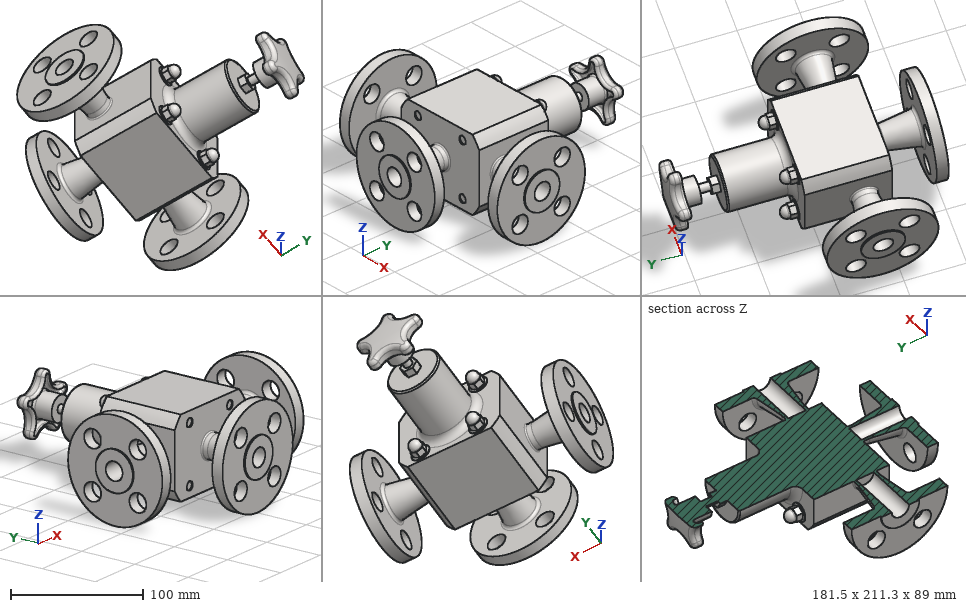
import cadquery as cq
import math


BODY_WIDTH = 88.8
BODY_HEIGHT = 70.0
BODY_LENGTH = 70.0
BODY_BACK = 47.3
BODY_FRONT = BODY_BACK - BODY_LENGTH
BODY_CORNER_DIAMETER = 101.5

BOLT_OFFSET = 25.4
BOLT_DIAMETER = 7.5
BOLT_RECESS = 1.0
WASHER_DIAMETER = 15.8
WASHER_THICKNESS = 0.6
CAP_NUT_FLATS = 11.0
CAP_NUT_HEX_TOP = 6.3
CAP_NUT_COLLAR_TOP = 7.8

FLANGE_DIAMETER = 89.0
SIDE_FLANGE_THICKNESS = 10.5
FRONT_FLANGE_THICKNESS = 9.7
RAISED_FACE_DIAMETER = 35.0
RAISED_FACE_HEIGHT = 1.3
OVERALL_WIDTH = 181.5
SIDE_PORT_REACH = OVERALL_WIDTH / 2
FRONT_PORT_REACH = 68.9
NECK_DIAMETER = 21.3
NECK_LENGTH = 5.5
NECK_FILLET = 1.0
HUB_DIAMETER = 29.5
HUB_FILLET_LENGTH = 2.3
BORE_DIAMETER = 15.8
FLANGE_HOLE_DIAMETER = 15.8
FLANGE_HOLE_CIRCLE = 60.2
FLANGE_HOLE_COUNT = 4

BONNET_DIAMETER = 45.6
BONNET_TOP = 101.5
BONNET_CHAMFER = 1.3
BONNET_FILLET = 6.3
STEM_NUT_FLATS = 12.9
STEM_NUT_HEIGHT = 6.5
STEM_DIAMETER = 7.5
WHEEL_HUB_DIAMETER = 22.2
WHEEL_HUB_START = 118.1
WHEEL_HUB_FILLET = 2.5

WHEEL_BOTTOM = 130.8
OVERALL_LENGTH = 211.3
WHEEL_TOP = OVERALL_LENGTH - FRONT_PORT_REACH
LOBE_COUNT = 5
LOBE_RADIUS = 5.0
LOBE_CENTRE_RADIUS = 23.2
VALLEY_RADIUS = 17.5
WHEEL_TURN = 1.3
DOME_RADIUS = 158.5
DOME_TRIM = 2.1
WHEEL_TOP_FILLET = 3.5
WHEEL_BOTTOM_FILLET = 2.5
RECESS_LOBE_DIAMETER = 4.5
WHEEL_WALL = LOBE_RADIUS - RECESS_LOBE_DIAMETER / 2
WHEEL_TOP_THICKNESS = 6.0
RECESS_FILLET = 2.1


def plane_at(y):
    """Workplane across the stem at height y, facing +Y, with its local x along +Z."""
    return cq.Workplane(cq.Plane(origin=(0, y, 0), xDir=(0, 0, 1), normal=(0, 1, 0)))


def disc(diameter, start, end):
    return plane_at(start).circle(diameter / 2).extrude(end - start)


def bolt_positions():
    return [(sz * BOLT_OFFSET, sx * BOLT_OFFSET) for sz in (-1, 1) for sx in (-1, 1)]


def make_body():
    block = plane_at(BODY_FRONT).rect(BODY_HEIGHT, BODY_WIDTH).extrude(BODY_LENGTH)
    rounded = block.intersect(disc(BODY_CORNER_DIAMETER, BODY_FRONT, BODY_BACK))
    recesses = (
        plane_at(BODY_FRONT).pushPoints(bolt_positions()).circle(BOLT_DIAMETER / 2).extrude(BOLT_RECESS)
    )
    return rounded.cut(recesses)


def make_port(body_face, reach, flange_thickness):
    """Port pointing along +Z from the body face to its raised face, bored down to the body face."""
    neck_r = NECK_DIAMETER / 2
    hub_r = HUB_DIAMETER / 2
    flange_r = FLANGE_DIAMETER / 2
    raised_r = RAISED_FACE_DIAMETER / 2
    flange_front = reach - RAISED_FACE_HEIGHT
    flange_back = flange_front - flange_thickness
    neck_end = body_face + NECK_LENGTH
    hub_end = flange_back - HUB_FILLET_LENGTH
    taper = math.atan2(hub_r - neck_r, hub_end - neck_end)
    fillet_run = HUB_FILLET_LENGTH * math.cos(taper) / (1 - math.sin(taper))
    port = (
        cq.Workplane("XZ")
        .moveTo(0, body_face)
        .lineTo(neck_r + NECK_FILLET, body_face)
        .radiusArc((neck_r, body_face + NECK_FILLET), NECK_FILLET)
        .lineTo(neck_r, neck_end)
        .lineTo(hub_r, hub_end)
        .tangentArcPoint((hub_r + fillet_run, flange_back), relative=False)
        .lineTo(flange_r, flange_back)
        .lineTo(flange_r, flange_front)
        .lineTo(raised_r, flange_front)
        .lineTo(raised_r, reach)
        .lineTo(0, reach)
        .close()
        .revolve(360, (0, 0, 0), (0, 1, 0))
    )
    bore = cq.Workplane("XY", origin=(0, 0, body_face)).circle(BORE_DIAMETER / 2).extrude(reach - body_face)
    holes = (
        cq.Workplane("XY", origin=(0, 0, flange_back))
        .polarArray(FLANGE_HOLE_CIRCLE / 2, 180 / FLANGE_HOLE_COUNT, 360, FLANGE_HOLE_COUNT)
        .circle(FLANGE_HOLE_DIAMETER / 2)
        .extrude(flange_thickness)
    )
    return port.cut(bore).cut(holes)


def make_ports():
    side = make_port(BODY_WIDTH / 2, SIDE_PORT_REACH, SIDE_FLANGE_THICKNESS)
    front = make_port(-BODY_FRONT, FRONT_PORT_REACH, FRONT_FLANGE_THICKNESS)
    return [
        side.rotate((0, 0, 0), (0, 1, 0), 90),
        side.rotate((0, 0, 0), (0, 1, 0), -90),
        front.rotate((0, 0, 0), (1, 0, 0), 90),
    ]


def hexagon(flats, y, height):
    """Hexagonal prism along Y with two corners pointing along Z."""
    return plane_at(y).polygon(6, flats / math.cos(math.pi / 6)).extrude(height)


def make_cap_nut():
    """Washer and domed nut standing on the back of the body, on the stem axis."""
    radius = CAP_NUT_FLATS / 2
    collar_top = BODY_BACK + CAP_NUT_COLLAR_TOP
    washer = disc(WASHER_DIAMETER, BODY_BACK, BODY_BACK + WASHER_THICKNESS)
    prism = hexagon(CAP_NUT_FLATS, BODY_BACK, CAP_NUT_HEX_TOP)
    collar = disc(CAP_NUT_FLATS, BODY_BACK, collar_top)
    dome = cq.Workplane("XY", origin=(0, collar_top, 0)).sphere(radius)
    return washer.union(prism).union(collar).union(dome)


def make_flare(diameter, base, height):
    """Concave round between a face at y = base and a cylinder; a negative height goes down -Y."""
    r = diameter / 2
    wide = r + abs(height)
    arc_mid = (wide - abs(height) * math.cos(math.pi / 4), base + height * (1 - math.sin(math.pi / 4)))
    return (
        cq.Workplane("XY")
        .moveTo(0, base)
        .lineTo(wide, base)
        .threePointArc(arc_mid, (r, base + height))
        .lineTo(0, base + height)
        .close()
        .revolve(360, (0, 0, 0), (0, 1, 0))
    )


def make_bonnet():
    bonnet = disc(BONNET_DIAMETER, BODY_BACK, BONNET_TOP).faces(">Y").chamfer(BONNET_CHAMFER)
    return bonnet.union(make_flare(BONNET_DIAMETER, BODY_BACK, BONNET_FILLET))


def make_stem():
    nut = hexagon(STEM_NUT_FLATS, BONNET_TOP, STEM_NUT_HEIGHT).rotate((0, 0, 0), (0, 1, 0), 90)
    rod = disc(STEM_DIAMETER, BONNET_TOP, WHEEL_HUB_START)
    return nut.union(rod)


def polar(radius, angle):
    return (radius * math.cos(angle), radius * math.sin(angle))


def make_star(bottom, top, lobe_radius, valley_radius):
    """Prism of round lobes joined by tangent hollow arcs, each touching the valley radius."""
    half_pitch = math.pi / LOBE_COUNT
    reach = LOBE_CENTRE_RADIUS * math.cos(half_pitch)
    hollow = (valley_radius**2 + LOBE_CENTRE_RADIUS**2 - lobe_radius**2 - 2 * valley_radius * reach) / (
        2 * (lobe_radius + reach - valley_radius)
    )
    hollow_x, hollow_y = polar(valley_radius + hollow, half_pitch)
    share = lobe_radius / (lobe_radius + hollow)
    touch_x = LOBE_CENTRE_RADIUS + share * (hollow_x - LOBE_CENTRE_RADIUS)
    touch_y = share * hollow_y
    touch_radius = math.hypot(touch_x, touch_y)
    touch_angle = math.atan2(touch_y, touch_x)

    first = math.radians(WHEEL_TURN)
    outline = plane_at(bottom).moveTo(*polar(touch_radius, first - touch_angle))
    for i in range(LOBE_COUNT):
        lobe = first + 2 * half_pitch * i
        valley = lobe + half_pitch
        lobe_end = polar(touch_radius, lobe + touch_angle)
        valley_end = polar(touch_radius, valley + half_pitch - touch_angle)
        outline = outline.threePointArc(polar(LOBE_CENTRE_RADIUS + lobe_radius, lobe), lobe_end)
        outline = outline.threePointArc(polar(valley_radius, valley), valley_end)
    return outline.close().extrude(top - bottom)


def make_domed_star(crown, dome_radius, inset, fillet):
    """Star inset evenly from the wheel's outline, under a dome with a rounded rim."""
    star = make_star(WHEEL_BOTTOM, crown + DOME_TRIM, LOBE_RADIUS - inset, VALLEY_RADIUS - inset)
    dome = cq.Workplane("XY", origin=(0, crown - dome_radius, 0)).sphere(dome_radius)
    return star.intersect(dome).faces("%SPHERE").edges().fillet(fillet)


def make_handwheel():
    """Domed star, hollowed from below, on its hub."""
    wheel = make_domed_star(WHEEL_TOP, DOME_RADIUS, 0, WHEEL_TOP_FILLET)
    wheel = wheel.faces("<Y").edges().fillet(WHEEL_BOTTOM_FILLET)

    floor = WHEEL_TOP - WHEEL_TOP_THICKNESS
    recess = make_domed_star(floor, DOME_RADIUS - WHEEL_TOP_THICKNESS, WHEEL_WALL, RECESS_FILLET)
    hub = disc(WHEEL_HUB_DIAMETER, WHEEL_HUB_START, floor)
    return wheel.cut(recess).union(hub).union(make_flare(WHEEL_HUB_DIAMETER, floor, -WHEEL_HUB_FILLET))


result = make_body()
for port in make_ports():
    result = result.union(port)
cap_nut = make_cap_nut()
for z, x in bolt_positions():
    result = result.union(cap_nut.translate((x, 0, z)))
result = result.union(make_bonnet()).union(make_stem()).union(make_handwheel())